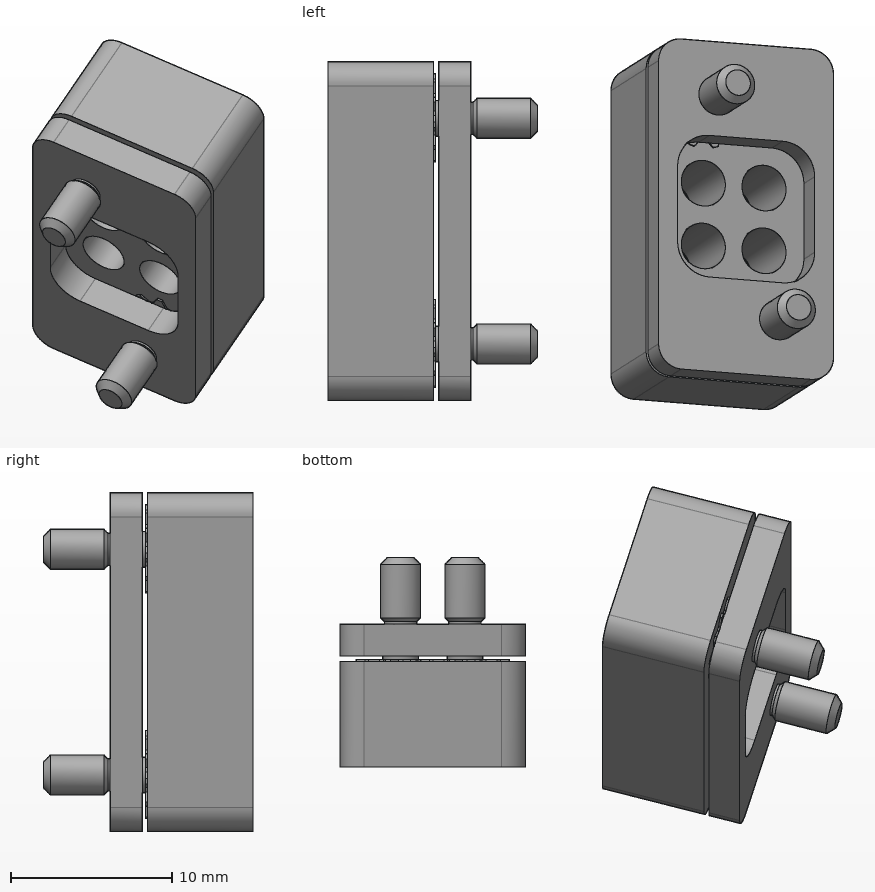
import cadquery as cq
import math

HEIGHT = 21.0
WIDTH = 11.5
CORNER_RADIUS = 1.5
BLOCK_DEPTH = 6.55
PLATE_GAP = 0.32
PLATE_THICKNESS = 2.0
OVERALL_DEPTH = 13.0
PLATE_REAR = BLOCK_DEPTH + PLATE_GAP
PLATE_FRONT = PLATE_REAR + PLATE_THICKNESS

HOLE_DIAMETER = 2.9
HOLE_OFFSET = 2.0
WINDOW_SIDE = 9.0
WINDOW_RADIUS = 2.1

PIN_X = HOLE_OFFSET
PIN_Z = 7.0
PIN_CENTERS = [(-PIN_X, PIN_Z), (PIN_X, -PIN_Z)]
PIN_DIAMETER = 2.5
PIN_RADIUS = PIN_DIAMETER / 2
PIN_TIP_CHAMFER = 0.45
COLLAR_RADIUS = 1.11
NECK_RADIUS = 1.0
NECK_LENGTH = 0.15
NECK_TAPER = PIN_RADIUS - NECK_RADIUS

WASHER_RADIUS = 2.77
WASHER_ROOT_RADIUS = 2.2
WASHER_THICKNESS = 0.13
TOOTH_COUNT = 11
TOOTH_TIP_WIDTH = 0.34
TOOTH_ROOT_WIDTH = 0.97


def plane_at(depth):
    """XZ sketch plane at a given depth, with its normal along -Y."""
    return cq.Workplane("XZ", origin=(0, -depth, 0))


def rounded_slab(width, height, radius, start, thickness):
    slab = plane_at(start).rect(width, height).extrude(thickness)
    return slab.edges("|Y").fillet(radius)


def make_block():
    block = rounded_slab(WIDTH, HEIGHT, CORNER_RADIUS, 0, BLOCK_DEPTH)
    holes = (
        plane_at(0)
        .rect(2 * HOLE_OFFSET, 2 * HOLE_OFFSET, forConstruction=True)
        .vertices()
        .circle(HOLE_DIAMETER / 2)
        .extrude(BLOCK_DEPTH)
    )
    return block.cut(holes)


def make_plate():
    plate = rounded_slab(WIDTH, HEIGHT, CORNER_RADIUS, PLATE_REAR, PLATE_THICKNESS)
    window = rounded_slab(WINDOW_SIDE, WINDOW_SIDE, WINDOW_RADIUS, PLATE_REAR, PLATE_THICKNESS)
    return plate.cut(window)


def make_pin(x, z):
    """Revolved pin standing on the block and joining the plate to it."""
    neck_end = PLATE_FRONT + NECK_LENGTH
    profile = (
        cq.Workplane("XY")
        .moveTo(0, -BLOCK_DEPTH)
        .lineTo(COLLAR_RADIUS, -BLOCK_DEPTH)
        .lineTo(COLLAR_RADIUS, -PLATE_REAR)
        .lineTo(NECK_RADIUS, -PLATE_REAR)
        .lineTo(NECK_RADIUS, -neck_end)
        .lineTo(PIN_RADIUS, -(neck_end + NECK_TAPER))
        .lineTo(PIN_RADIUS, -(OVERALL_DEPTH - PIN_TIP_CHAMFER))
        .lineTo(PIN_RADIUS - PIN_TIP_CHAMFER, -OVERALL_DEPTH)
        .lineTo(0, -OVERALL_DEPTH)
        .close()
    )
    return profile.revolve(360, (0, 0), (0, 1)).translate((x, 0, z))


def make_washer(x, z):
    """Disc with tapered teeth around its rim, one tooth pointing to +Z."""
    washer = plane_at(BLOCK_DEPTH).circle(WASHER_ROOT_RADIUS).extrude(WASHER_THICKNESS)
    tooth_base = math.sqrt(WASHER_ROOT_RADIUS**2 - (TOOTH_ROOT_WIDTH / 2) ** 2)
    tooth = (
        plane_at(BLOCK_DEPTH)
        .moveTo(0, 0)
        .lineTo(TOOTH_ROOT_WIDTH / 2, tooth_base)
        .lineTo(TOOTH_TIP_WIDTH / 2, WASHER_RADIUS)
        .lineTo(-TOOTH_TIP_WIDTH / 2, WASHER_RADIUS)
        .lineTo(-TOOTH_ROOT_WIDTH / 2, tooth_base)
        .close()
        .extrude(WASHER_THICKNESS)
    )
    for index in range(TOOTH_COUNT):
        angle = index * 360 / TOOTH_COUNT
        washer = washer.union(tooth.rotate((0, 0, 0), (0, 1, 0), angle))
    return washer.translate((x, 0, z))


result = make_block().union(make_plate())
for pin_x, pin_z in PIN_CENTERS:
    result = result.union(make_washer(pin_x, pin_z))
    result = result.union(make_pin(pin_x, pin_z))